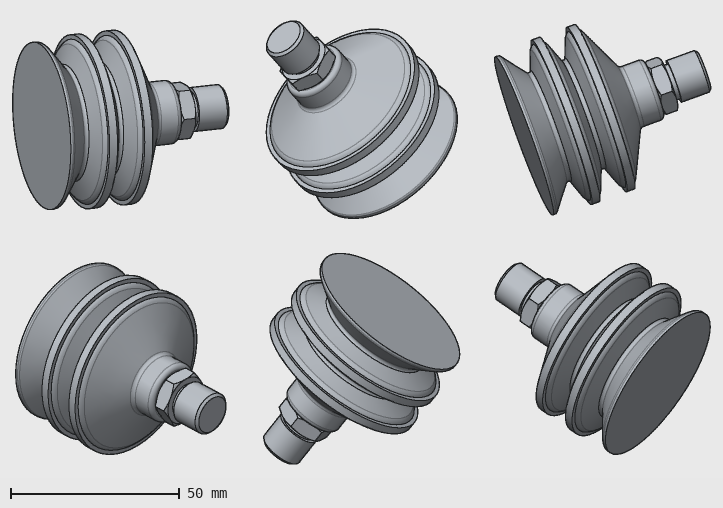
import cadquery as cq
import math


total_length = 57.1
thread_radius = 13.2 / 2
thread_length = 9.6
thread_chamfer = 0.8
neck_radius = 11.0 / 2
neck_length = 1.5

hex_across_flats = 15.0
hex_height = 4.8
hex_chamfer_angle = 30.0
hex_chamfer_start_radius = hex_across_flats / 2

collar_radius = 19.0 / 2
collar_fillet = 1.5
collar_base_height = 34.4
flare_radius = 10.3
flare_height = 33.1

rim_radius = 52.0 / 2
rim_half_width = 1.25
rim_root_radius = 24.65
shoulder_radius = 23.35
shoulder_half_width = 2.5
shoulder_sagitta = 0.15
upper_rim_height = 24.25
rim_pitch = 11.15
lower_rim_height = upper_rim_height - rim_pitch

throat_radius = 17.2
throat_edge_radius = 17.5
throat_half_width = 0.75
upper_throat_height = (upper_rim_height + lower_rim_height) / 2
lower_throat_height = 7.75

lip_radius = 50.0 / 2
lip_edge_height = 0.8
lip_round_radius = 24.7
lip_round_height = 1.35

thread_bottom = total_length - thread_length
hex_top = thread_bottom - neck_length
hex_bottom = hex_top - hex_height


def add_convolution(outline, center):
    """Continue the outline down around one convolution."""
    return (
        outline.lineTo(shoulder_radius, center + shoulder_half_width)
        .sagittaArc((rim_root_radius, center + rim_half_width), shoulder_sagitta)
        .lineTo(rim_radius, center + rim_half_width)
        .lineTo(rim_radius, center - rim_half_width)
        .lineTo(rim_root_radius, center - rim_half_width)
        .sagittaArc((shoulder_radius, center - shoulder_half_width), shoulder_sagitta)
    )


def add_throat(outline, center):
    """Continue the outline down through one rounded throat."""
    return outline.lineTo(throat_edge_radius, center + throat_half_width).threePointArc(
        (throat_radius, center), (throat_edge_radius, center - throat_half_width)
    )


def revolve_about_axis(outline):
    return outline.close().revolve(360, (0, 0, 0), (0, 1, 0))


def make_body():
    outline = (
        cq.Workplane("XY")
        .moveTo(0, hex_bottom)
        .lineTo(collar_radius - collar_fillet, hex_bottom)
        .tangentArcPoint((collar_radius, hex_bottom - collar_fillet), relative=False)
        .lineTo(collar_radius, collar_base_height)
        .tangentArcPoint((flare_radius, flare_height), relative=False)
    )
    outline = add_convolution(outline, upper_rim_height)
    outline = add_throat(outline, upper_throat_height)
    outline = add_convolution(outline, lower_rim_height)
    outline = add_throat(outline, lower_throat_height)
    outline = (
        outline.lineTo(lip_round_radius, lip_round_height)
        .tangentArcPoint((lip_radius, lip_edge_height), relative=False)
        .lineTo(lip_radius, 0)
        .lineTo(0, 0)
    )
    return revolve_about_axis(outline)


def make_hexagon():
    """Hexagonal prism with corners on X, its corners bevelled at both ends."""
    corner_radius = hex_across_flats / math.sqrt(3)
    bevel_slope = math.tan(math.radians(hex_chamfer_angle))
    bevel_height = (corner_radius - hex_chamfer_start_radius) * bevel_slope
    prism = (
        cq.Workplane("XZ", origin=(0, hex_top, 0))
        .polygon(6, 2 * corner_radius)
        .extrude(hex_height)
    )
    envelope = revolve_about_axis(
        cq.Workplane("XY")
        .moveTo(0, hex_bottom)
        .lineTo(hex_chamfer_start_radius, hex_bottom)
        .lineTo(corner_radius, hex_bottom + bevel_height)
        .lineTo(corner_radius, hex_top - bevel_height)
        .lineTo(hex_chamfer_start_radius, hex_top)
        .lineTo(0, hex_top)
    )
    return prism.intersect(envelope)


def make_stud():
    outline = (
        cq.Workplane("XY")
        .moveTo(0, hex_top)
        .lineTo(neck_radius, hex_top)
        .lineTo(neck_radius, thread_bottom)
        .lineTo(thread_radius, thread_bottom)
        .lineTo(thread_radius, total_length - thread_chamfer)
        .lineTo(thread_radius - thread_chamfer, total_length)
        .lineTo(0, total_length)
    )
    return revolve_about_axis(outline)


result = make_body().union(make_hexagon()).union(make_stud())